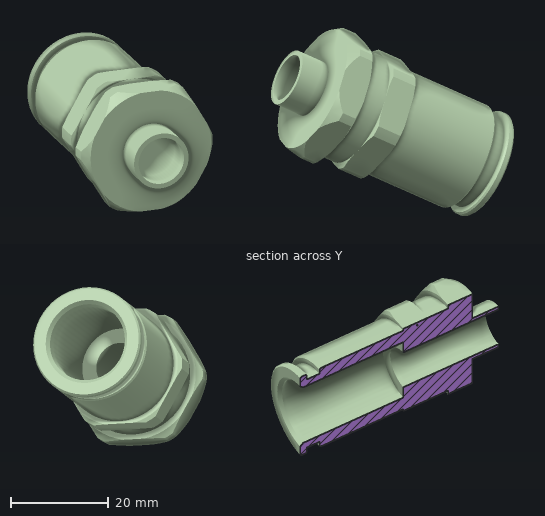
import cadquery as cq
import math

flange_end = 1.7
body_start = 4.7
small_hex_start = 25.2
small_hex_end = 31.2
large_hex_start = 36.15
large_hex_end = 42.2
total_length = 48.5

body_diameter = 23.0
neck_diameter = 20.0
collar_diameter = 24.0
spigot_diameter = 12.0
edge_chamfer = 0.35

small_hex_flats = collar_diameter
small_hex_corner_diameter = 26.5
small_hex_bevel = 0.82
large_hex_flats = 26.0
large_hex_corner_diameter = 29.0
large_hex_bevel = 1.3
small_hex_angle = 20.0
large_hex_start_angle = 30.0
large_hex_end_angle = 60.0

socket_diameter = 16.0
socket_mouth_diameter = 17.45
socket_depth = small_hex_start
through_diameter = 10.0


def cylinder(start, end, diameter):
    """Cylinder on the X axis between two stations."""
    return cq.Workplane("YZ", origin=(start, 0, 0)).circle(diameter / 2).extrude(end - start)


def beveled_hex(start, end, flats, corner_diameter, bevel, start_angle, end_angle):
    """Hexagon with flats facing +Z and -Z and its corners turned to a beveled round."""
    hexagon = (
        cq.Workplane("YZ", origin=(start, 0, 0))
        .polygon(6, flats / math.cos(math.radians(30)))
        .extrude(end - start)
    )
    radius = corner_diameter / 2
    start_bevel_length = bevel * math.tan(math.radians(start_angle))
    end_bevel_length = bevel * math.tan(math.radians(end_angle))
    envelope = (
        cq.Workplane("XY")
        .moveTo(start, 0)
        .lineTo(start, radius - bevel)
        .lineTo(start + start_bevel_length, radius)
        .lineTo(end - end_bevel_length, radius)
        .lineTo(end, radius - bevel)
        .lineTo(end, 0)
        .close()
        .revolve(360, (0, 0, 0), (1, 0, 0))
    )
    return hexagon.intersect(envelope)


flange = cylinder(0, flange_end, body_diameter).edges().chamfer(edge_chamfer)
neck = cylinder(0, body_start, neck_diameter)
body = cylinder(body_start, small_hex_start, body_diameter).edges("<X").chamfer(edge_chamfer)
collar = cylinder(small_hex_end, large_hex_start, collar_diameter)
spigot = cylinder(large_hex_end, total_length, spigot_diameter)

small_hex = beveled_hex(
    small_hex_start, small_hex_end, small_hex_flats,
    small_hex_corner_diameter, small_hex_bevel, small_hex_angle, small_hex_angle,
)
large_hex = beveled_hex(
    large_hex_start, large_hex_end, large_hex_flats,
    large_hex_corner_diameter, large_hex_bevel, large_hex_start_angle, large_hex_end_angle,
)

mouth_chamfer = (socket_mouth_diameter - socket_diameter) / 2
socket = cylinder(0, socket_depth, socket_diameter)
mouth = (
    cq.Workplane("YZ")
    .circle(socket_mouth_diameter / 2)
    .workplane(offset=mouth_chamfer)
    .circle(socket_diameter / 2)
    .loft()
)
through_bore = cylinder(0, total_length, through_diameter)

result = flange
for section in (neck, body, small_hex, collar, large_hex, spigot):
    result = result.union(section)
for void in (socket, mouth, through_bore):
    result = result.cut(void)